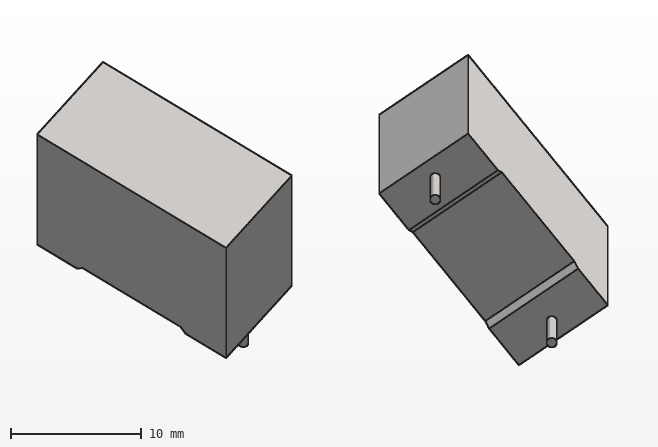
import cadquery as cq

overall_height = 18.5
body_length = 18.0
body_width = 8.5
body_height = 14.5

recess_height = 0.5
recess_mouth_length = 10.32
recess_roof_length = recess_mouth_length - 2 * recess_height

pin_diameter = 0.8
pin_length = overall_height - body_height
pin_spacing = 15.0


def make_body():
    """Box standing on Z = 0, centred on X and Y."""
    return cq.Workplane("XY").box(body_length, body_width, body_height, centered=(True, True, False))


def make_recess():
    """Trapezoidal channel running through the full width along Y."""
    outline = [
        (-recess_mouth_length / 2, 0),
        (recess_mouth_length / 2, 0),
        (recess_roof_length / 2, recess_height),
        (-recess_roof_length / 2, recess_height),
    ]
    return cq.Workplane("XZ").polyline(outline).close().extrude(body_width / 2, both=True)


def make_pins():
    """Two pins hanging from the underside, one near each end."""
    pin_centers = [(-pin_spacing / 2, 0), (pin_spacing / 2, 0)]
    return cq.Workplane("XY").pushPoints(pin_centers).circle(pin_diameter / 2).extrude(-pin_length)


result = make_body().cut(make_recess()).union(make_pins())